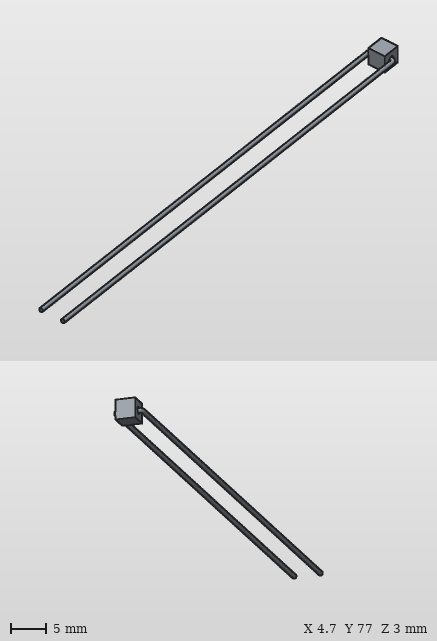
import cadquery as cq

body_size = 3.0

overall_width = 4.7
overall_length = 77.0
lead_diameter = 0.7
bend_radius = 0.5

recess_diameter = 1.0
recess_depth = 0.5

body_half = body_size / 2
lead_offset = (overall_width - lead_diameter) / 2
bend_start = lead_offset - bend_radius
lead_end = body_half - overall_length


def make_body():
    """Cube with a blind round recess in the middle of each X face."""
    cube = cq.Workplane("XY").box(body_size, body_size, body_size)
    for side in (">X", "<X"):
        cube = cube.faces(side).workplane(centerOption="CenterOfBoundBox").hole(recess_diameter, recess_depth)
    return cube


def make_lead():
    """Lead on the +X side: a run from the body centre, a quarter bend and a long straight leg."""
    path = (
        cq.Workplane("XY")
        .lineTo(bend_start, 0)
        .tangentArcPoint((lead_offset, -bend_radius), relative=False)
        .lineTo(lead_offset, lead_end)
    )
    return cq.Workplane("YZ").circle(lead_diameter / 2).sweep(path)


right_lead = make_lead()
left_lead = right_lead.mirror("YZ")
result = make_body().union(right_lead).union(left_lead)